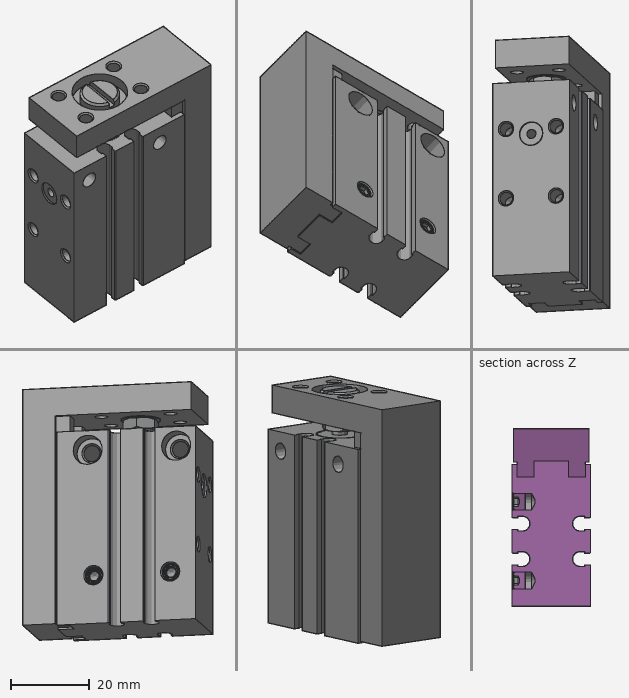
import cadquery as cq
import math


HOUSING_WIDTH = 20.0
HOUSING_DEPTH = 36.0
HOUSING_HEIGHT = 50.0
SIDE_X = HOUSING_WIDTH / 2

TOTAL_DEPTH = 45.0
TOTAL_HEIGHT = 61.5
TABLE_WIDTH = 19.2
TABLE_BASE_Z = 0.5
BACK_PLATE_THICKNESS = 8.5
TOP_PLATE_THICKNESS = 7.2
TOP_PLATE_FRONT_Y = 1.15
TABLE_FACE_Y = TOTAL_DEPTH - BACK_PLATE_THICKNESS
TOP_PLATE_BASE_Z = TOTAL_HEIGHT - TOP_PLATE_THICKNESS

TONGUE_WIDTH = 17.3
TONGUE_FRONT_Y = 32.85
RAIL_WIDTH = 9.0
RAIL_BACK_Y = 36.9

GROOVE_FRONT_EDGES = (10.5, 19.5)
GROOVE_MOUTH = 2.9
GROOVE_LIP_CHAMFER = 0.25
GROOVE_LIP_THICKNESS = 1.55
GROOVE_DIAMETER = 3.7
GROOVE_CENTRE_DEPTH = 2.7

CROSS_HOLE_DIAMETER = 4.1
CROSS_HOLE_CHAMFER_DIAMETER = 5.0
CROSS_BORE_DIAMETER = 7.5
CROSS_BORE_DEPTH = 4.4
CROSS_HOLE_YS = (5.0, 28.0)
CROSS_HOLE_Z = 45.0

TAP_DIAMETER = 3.25
TAP_CHAMFER_DIAMETER = 4.0
FRONT_TAP_X = 6.5
FRONT_TAP_ZS = (20.0, 38.0)
FRONT_TAP_DEPTH = 6.0
DRILL_POINT_ANGLE = 118
TABLE_TAP_X = 5.5
TABLE_TAP_OFFSET_Y = 9.0

VENT_Z = 36.5
VENT_DIAMETER = 2.35
VENT_SPOTFACE_DIAMETER = 6.0
VENT_SPOTFACE_DEPTH = 0.5

PORT_YS = (6.5, 26.5)
PORT_Z = 12.5
PORT_DIAMETER = 4.3
PORT_CHAMFER_DIAMETER = 5.0
PORT_DEPTH = 5.0
PLUG_LENGTH = 3.1
PLUG_CHAMFER = 0.3
SOCKET_FLATS = 2.6
SOCKET_DEPTH = 1.2
SOCKET_MOUTH_DIAMETER = 3.1

ROD_Y = 16.5
ROD_DIAMETER = 4.0
ROD_BASE_Z = 24.6
ROD_TOP_Z = 58.4
COVER_DIAMETER = 12.0
COVER_CHAMFER = 0.3
COVER_HEIGHT = 5.0
BUSH_DIAMETER = 10.0
BUSH_BASE_Z = 54.1
BUSH_CHAMFER = 0.55
BUSH_SLOT_WIDTH = 1.6
BUSH_SLOT_DEPTH = 1.5
BUSH_POCKET_DIAMETER = 14.0
BUSH_POCKET_DEPTH = 3.0
NUT_FLATS = 8.1
NUT_HEIGHT = 2.8
NUT_CHAMFER_ANGLE = 30


def block(x_width, y_range, z_range):
    """Box centred on X = 0 that spans the given Y and Z ranges."""
    y0, y1 = y_range
    z0, z1 = z_range
    return cq.Workplane("XY").box(x_width, y1 - y0, z1 - z0, centered=(True, False, False)).translate((0, y0, z0))


def rod_cylinder(diameter, base_z, top_z):
    """Cylinder on the rod axis."""
    return cq.Workplane("XY", origin=(0, ROD_Y, base_z)).circle(diameter / 2).extrude(top_z - base_z)


def revolved_cutter(profile, start, direction):
    """Round cutter from (radius, depth) points, running from start along direction."""
    axis = cq.Vector(*direction)
    across = cq.Vector(0, 0, 1) if abs(axis.z) < 1 else cq.Vector(1, 0, 0)
    plane = cq.Plane(origin=start, xDir=across, normal=across.cross(axis))
    return cq.Workplane(plane).polyline(profile).close().revolve(360, (0, 0), (0, 1))


def chamfered_hole(diameter, chamfer_diameter, depth, pointed, start, direction):
    """Cutter for a hole with a 45 degree entry chamfer and, if pointed, a drill-point end."""
    radius = diameter / 2
    chamfer_radius = chamfer_diameter / 2
    profile = [(0, 0), (chamfer_radius, 0), (radius, chamfer_radius - radius), (radius, depth)]
    tip = radius / math.tan(math.radians(DRILL_POINT_ANGLE / 2)) if pointed else 0
    profile.append((0, depth + tip))
    return revolved_cutter(profile, start, direction)


def sensor_groove(front_edge_y):
    """Cutter for one groove in the -X side, over the full housing height; the back lip is chamfered."""
    radius = GROOVE_DIAMETER / 2
    back_edge_y = front_edge_y + GROOVE_MOUTH
    mid_y = front_edge_y + GROOVE_MOUTH / 2
    lip_x = -SIDE_X + GROOVE_LIP_THICKNESS
    centre_x = -SIDE_X + GROOVE_CENTRE_DEPTH
    return (
        cq.Workplane("XY")
        .moveTo(-SIDE_X, front_edge_y)
        .lineTo(lip_x, front_edge_y)
        .lineTo(lip_x, mid_y - radius)
        .lineTo(centre_x, mid_y - radius)
        .threePointArc((centre_x + radius, mid_y), (centre_x, mid_y + radius))
        .lineTo(lip_x, mid_y + radius)
        .lineTo(lip_x, back_edge_y)
        .lineTo(-SIDE_X + GROOVE_LIP_CHAMFER, back_edge_y)
        .lineTo(-SIDE_X, back_edge_y + GROOVE_LIP_CHAMFER)
        .close()
        .extrude(HOUSING_HEIGHT)
    )


def cross_hole(y):
    """Cutter for a through hole along X with a counterbore in the -X side."""
    bore_radius = CROSS_BORE_DIAMETER / 2
    bore = revolved_cutter(
        [(0, 0), (bore_radius, 0), (bore_radius, CROSS_BORE_DEPTH), (0, CROSS_BORE_DEPTH)],
        (-SIDE_X, y, CROSS_HOLE_Z),
        (1, 0, 0),
    )
    hole = chamfered_hole(
        CROSS_HOLE_DIAMETER,
        CROSS_HOLE_CHAMFER_DIAMETER,
        HOUSING_WIDTH - CROSS_BORE_DEPTH,
        False,
        (-SIDE_X + CROSS_BORE_DEPTH, y, CROSS_HOLE_Z),
        (1, 0, 0),
    )
    return bore.union(hole)


def vent():
    """Cutter for the spotfaced vent that runs from the housing front to the rod axis."""
    spot_radius = VENT_SPOTFACE_DIAMETER / 2
    radius = VENT_DIAMETER / 2
    profile = [
        (0, 0),
        (spot_radius, 0),
        (spot_radius, VENT_SPOTFACE_DEPTH),
        (radius, VENT_SPOTFACE_DEPTH),
        (radius, ROD_Y),
        (0, ROD_Y),
    ]
    return revolved_cutter(profile, (0, 0, VENT_Z), (0, 1, 0))


def make_housing():
    body = block(HOUSING_WIDTH, (0, HOUSING_DEPTH), (0, HOUSING_HEIGHT))
    body = body.cut(block(TONGUE_WIDTH, (TONGUE_FRONT_Y, HOUSING_DEPTH), (0, HOUSING_HEIGHT)))
    body = body.union(block(RAIL_WIDTH, (TONGUE_FRONT_Y, RAIL_BACK_Y), (0, HOUSING_HEIGHT)))
    for edge_y in GROOVE_FRONT_EDGES:
        groove = sensor_groove(edge_y)
        body = body.cut(groove).cut(groove.mirror("YZ"))
    for y in CROSS_HOLE_YS:
        body = body.cut(cross_hole(y))
    for z in FRONT_TAP_ZS:
        for x in (-FRONT_TAP_X, FRONT_TAP_X):
            body = body.cut(
                chamfered_hole(TAP_DIAMETER, TAP_CHAMFER_DIAMETER, FRONT_TAP_DEPTH, True, (x, 0, z), (0, 1, 0))
            )
    for y in PORT_YS:
        body = body.cut(
            chamfered_hole(
                PORT_DIAMETER, PORT_CHAMFER_DIAMETER, PORT_DEPTH, True, (-SIDE_X, y, PORT_Z), (1, 0, 0)
            )
        )
    body = body.cut(rod_cylinder(COVER_DIAMETER, HOUSING_HEIGHT - COVER_HEIGHT, HOUSING_HEIGHT))
    body = body.cut(rod_cylinder(ROD_DIAMETER, ROD_BASE_Z, HOUSING_HEIGHT))
    return body.cut(vent())


def make_table():
    body = block(TABLE_WIDTH, (TABLE_FACE_Y, TOTAL_DEPTH), (TABLE_BASE_Z, TOTAL_HEIGHT))
    body = body.union(block(TABLE_WIDTH, (TOP_PLATE_FRONT_Y, TOTAL_DEPTH), (TOP_PLATE_BASE_Z, TOTAL_HEIGHT)))
    body = body.union(block(TONGUE_WIDTH, (TONGUE_FRONT_Y, TABLE_FACE_Y), (TABLE_BASE_Z, TOP_PLATE_BASE_Z)))
    body = body.cut(block(RAIL_WIDTH, (TONGUE_FRONT_Y, RAIL_BACK_Y), (TABLE_BASE_Z, TOP_PLATE_BASE_Z)))
    body = body.cut(rod_cylinder(BUSH_DIAMETER, TOP_PLATE_BASE_Z, TOTAL_HEIGHT))
    body = body.cut(rod_cylinder(BUSH_POCKET_DIAMETER, TOTAL_HEIGHT - BUSH_POCKET_DEPTH, TOTAL_HEIGHT))
    for y in (ROD_Y - TABLE_TAP_OFFSET_Y, ROD_Y + TABLE_TAP_OFFSET_Y):
        for x in (-TABLE_TAP_X, TABLE_TAP_X):
            body = body.cut(
                chamfered_hole(
                    TAP_DIAMETER,
                    TAP_CHAMFER_DIAMETER,
                    TOP_PLATE_THICKNESS,
                    False,
                    (x, y, TOTAL_HEIGHT),
                    (0, 0, -1),
                )
            )
    return body


def make_cover():
    cover = rod_cylinder(COVER_DIAMETER, HOUSING_HEIGHT - COVER_HEIGHT, HOUSING_HEIGHT)
    cover = cover.faces(">Z").edges().chamfer(COVER_CHAMFER)
    return cover.cut(rod_cylinder(ROD_DIAMETER, ROD_BASE_Z, HOUSING_HEIGHT))


def make_rod():
    return rod_cylinder(ROD_DIAMETER, ROD_BASE_Z, ROD_TOP_Z)


def make_nut():
    """Hexagon nut with corners along X, its corners turned down to cones at both ends."""
    corners = NUT_FLATS / math.cos(math.radians(30))
    base_z = BUSH_BASE_Z - NUT_HEIGHT
    nut = cq.Workplane("XY", origin=(0, ROD_Y, base_z)).polygon(6, corners).extrude(NUT_HEIGHT)
    face_radius = NUT_FLATS / 2
    corner_radius = corners / 2
    drop = (corner_radius - face_radius) * math.tan(math.radians(NUT_CHAMFER_ANGLE))
    turned = revolved_cutter(
        [
            (0, 0),
            (face_radius, 0),
            (corner_radius, drop),
            (corner_radius, NUT_HEIGHT - drop),
            (face_radius, NUT_HEIGHT),
            (0, NUT_HEIGHT),
        ],
        (0, ROD_Y, base_z),
        (0, 0, 1),
    )
    return nut.intersect(turned).cut(make_rod())


def make_bush():
    bush = rod_cylinder(BUSH_DIAMETER, BUSH_BASE_Z, TOTAL_HEIGHT).faces(">Z").edges().chamfer(BUSH_CHAMFER)
    slot_y = (ROD_Y - BUSH_SLOT_WIDTH / 2, ROD_Y + BUSH_SLOT_WIDTH / 2)
    slot = block(BUSH_DIAMETER, slot_y, (TOTAL_HEIGHT - BUSH_SLOT_DEPTH, TOTAL_HEIGHT))
    return bush.cut(slot).cut(make_rod())


def make_plug(y):
    """Socket plug that sits in a side port, just below the entry chamfer."""
    face_x = -SIDE_X + (PORT_CHAMFER_DIAMETER - PORT_DIAMETER) / 2
    face = cq.Workplane("YZ", origin=(face_x, y, PORT_Z))
    plug = face.circle(PORT_DIAMETER / 2).extrude(PLUG_LENGTH).faces("<X").edges().chamfer(PLUG_CHAMFER)
    corners = SOCKET_FLATS / math.cos(math.radians(30))
    socket = face.polygon(6, corners).extrude(SOCKET_DEPTH)
    radius = SOCKET_FLATS / 2
    tip = radius / math.tan(math.radians(DRILL_POINT_ANGLE / 2))
    point = revolved_cutter([(0, 0), (radius, 0), (0, tip)], (face_x + SOCKET_DEPTH, y, PORT_Z), (1, 0, 0))
    mouth_radius = SOCKET_MOUTH_DIAMETER / 2
    mouth = revolved_cutter([(0, 0), (mouth_radius, 0), (0, mouth_radius)], (face_x, y, PORT_Z), (1, 0, 0))
    return plug.cut(socket).cut(point).cut(mouth)


housing = make_housing()
table = make_table()
cover = make_cover()
rod = make_rod()
nut = make_nut()
bush = make_bush()
plugs = [make_plug(y) for y in PORT_YS]

result = cq.Compound.makeCompound(
    [
        housing.val(),
        table.val(),
        cover.val(),
        rod.val(),
        nut.val(),
        bush.val(),
        *[plug.val() for plug in plugs],
    ]
)